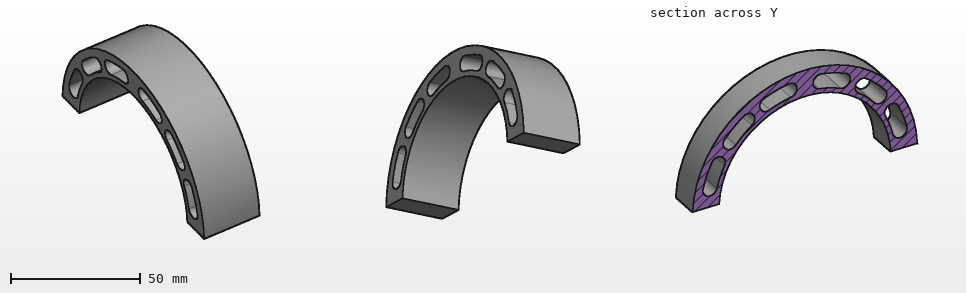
import cadquery as cq
import math

span = 100.6
depth = 25.4
foot_height = 1.5
wall = 12.1

slot_radius = 43.5
slot_width = 6.2
slot_sweep = 14.0
first_slot_angle = 20.0
slot_pitch = 27.0
slots_per_side = 3

outer_radius = math.hypot(span / 2, foot_height)
inner_radius = outer_radius - wall


def polar(radius, angle):
    """Point in the XZ plane at an angle in degrees from +X."""
    return (
        radius * math.cos(math.radians(angle)),
        radius * math.sin(math.radians(angle)),
    )


def arch():
    """Ring segment standing on two flat feet."""
    inner_half_span = math.sqrt(inner_radius**2 - foot_height**2)
    return (
        cq.Workplane("XZ")
        .moveTo(-span / 2, foot_height)
        .threePointArc((0, outer_radius), (span / 2, foot_height))
        .lineTo(inner_half_span, foot_height)
        .threePointArc((0, inner_radius), (-inner_half_span, foot_height))
        .close()
        .extrude(depth / 2, both=True)
    )


def curved_slot(middle_angle):
    """Round-ended slot following the arch, running right through in Y."""
    start = middle_angle - slot_sweep / 2
    end = middle_angle + slot_sweep / 2
    near = slot_radius - slot_width / 2
    far = slot_radius + slot_width / 2
    tip = math.degrees(2 * math.asin(slot_width / 4 / slot_radius))
    return (
        cq.Workplane("XZ")
        .moveTo(*polar(far, start))
        .threePointArc(polar(far, middle_angle), polar(far, end))
        .threePointArc(polar(slot_radius, end + tip), polar(near, end))
        .threePointArc(polar(near, middle_angle), polar(near, start))
        .threePointArc(polar(slot_radius, start - tip), polar(far, start))
        .close()
        .extrude(depth, both=True)
    )


result = arch()
for index in range(slots_per_side):
    angle = first_slot_angle + index * slot_pitch
    result = result.cut(curved_slot(angle))
    result = result.cut(curved_slot(180 - angle))